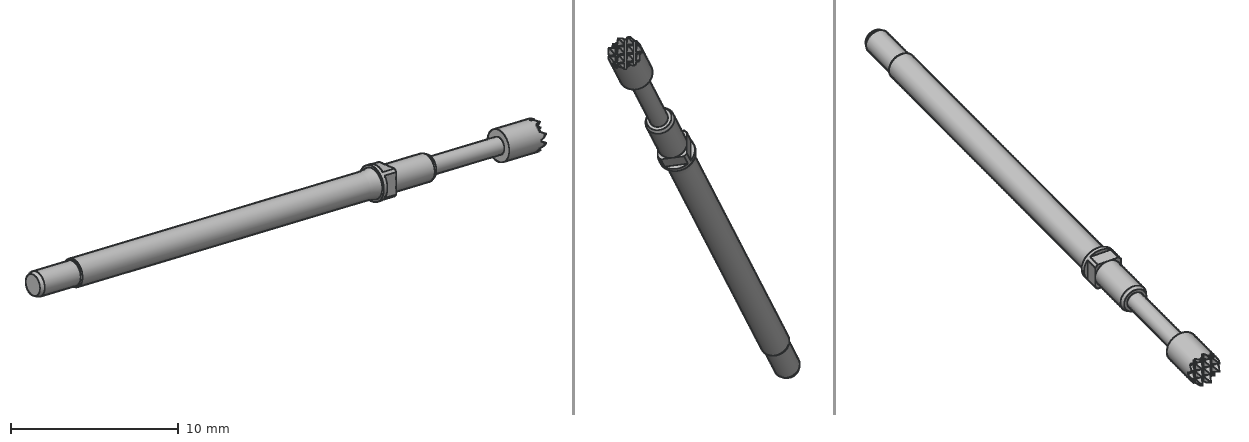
import cadquery as cq

total_length = 38.8
tail_length = 3.03
tail_chamfer_length = 0.27
tail_chamfer_width = 0.1
barrel_end_chamfer = 0.08
flange_rear = 26.07
flare_length = 0.8
flange_length = 0.27
square_length = 0.9
nose_length = 0.25
nose_tip = 30.4
head_length = 3.0

tail_diameter = 1.6
barrel_diameter = 1.8
flare_diameter = 1.98
flange_diameter = 2.3
nose_diameter = 1.55
plunger_diameter = 1.13
head_diameter = 2.05

square_width = barrel_diameter
tooth_pitch = 0.6
tooth_height = 0.5
groove_floor_width = 0.1
grooves_per_row = 5

flare_rear = flange_rear - flare_length
flange_front = flange_rear + flange_length
square_front = flange_front + square_length
head_rear = total_length - head_length


def turned_body():
    """Revolve the stepped half outline about the Y axis."""
    tail_radius = tail_diameter / 2
    barrel_radius = barrel_diameter / 2
    flare_radius = flare_diameter / 2
    flare_height = flare_radius - barrel_radius
    flare_arc_radius = (flare_length**2 + flare_height**2) / (2 * flare_height)
    flange_radius = flange_diameter / 2
    plunger_radius = plunger_diameter / 2
    head_radius = head_diameter / 2
    outline = (
        cq.Workplane("XY")
        .lineTo(tail_radius - tail_chamfer_width, 0)
        .lineTo(tail_radius, tail_chamfer_length)
        .lineTo(tail_radius, tail_length)
        .lineTo(barrel_radius - barrel_end_chamfer, tail_length)
        .lineTo(barrel_radius, tail_length + barrel_end_chamfer)
        .lineTo(barrel_radius, flare_rear)
        .radiusArc((flare_radius, flange_rear), flare_arc_radius)
        .lineTo(flange_radius, flange_rear)
        .lineTo(flange_radius, flange_front)
        .lineTo(barrel_radius, flange_front)
        .lineTo(barrel_radius, nose_tip - nose_length)
        .lineTo(nose_diameter / 2, nose_tip)
        .lineTo(plunger_radius, nose_tip)
        .lineTo(plunger_radius, head_rear)
        .lineTo(head_radius, head_rear)
        .lineTo(head_radius, total_length)
        .lineTo(0, total_length)
        .close()
    )
    return outline.revolve(360, (0, 0), (0, 1))


def wrench_square():
    """Four flats whose corners are rounded to the flange diameter."""
    middle = (0, (flange_front + square_front) / 2, 0)
    block = cq.Workplane("XY").box(square_width, square_length, square_width).translate(middle)
    corner_round = (
        cq.Workplane("XZ", origin=(0, square_front, 0))
        .circle(flange_diameter / 2)
        .extrude(square_length)
    )
    return block.intersect(corner_round)


def tooth_grooves():
    """Crossed rows of tapered grooves that leave a grid of pyramid teeth on the head face."""
    half_pitch = tooth_pitch / 2
    groove = (
        cq.Workplane("XY")
        .moveTo(-half_pitch, total_length)
        .lineTo(-groove_floor_width / 2, total_length - tooth_height)
        .lineTo(groove_floor_width / 2, total_length - tooth_height)
        .lineTo(half_pitch, total_length)
        .close()
        .extrude(head_diameter, both=True)
    )
    middle = (grooves_per_row - 1) / 2
    offsets = [(index - middle) * tooth_pitch for index in range(grooves_per_row)]
    row = cq.Workplane("XY")
    for offset in offsets:
        row = row.add(groove.translate((offset, 0, 0)))
    row = row.combine()
    return row.union(row.rotate((0, 0, 0), (0, 1, 0), 90))


result = turned_body().union(wrench_square()).cut(tooth_grooves())